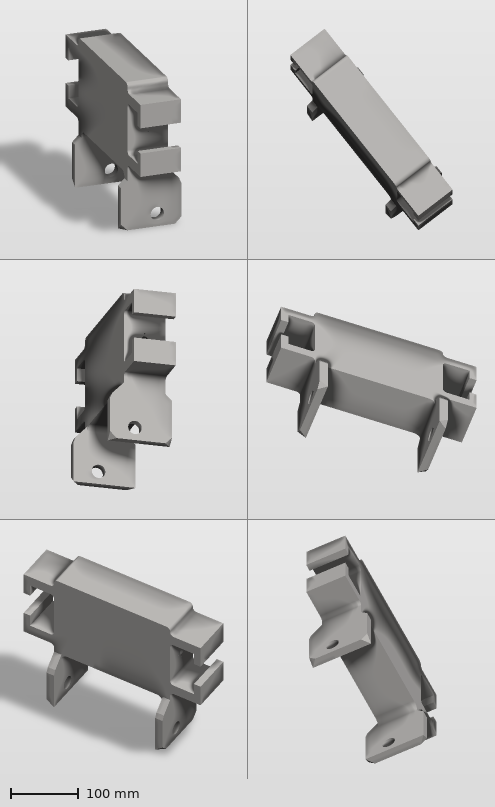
import cadquery as cq

block_width = 201.2
block_depth = 64.0
block_height = 143.5
block_corner_radius = 6.5

overall_width = 306.7
clip_height = 114.0
clip_opening = 40.0
arm_thickness = 17.0
hook_thickness = 11.3
arm_root_radius = 6.5

overall_height = 232.5
leg_thickness = 13.0
leg_root_radius = 10.0
rear_overhang = 21.2
rear_slope = 17.5
rear_drop = 25.8
front_overhang = 10.0
front_shoulder_drop = 11.0
leg_corner_cut = 10.0
leg_hole_diameter = 21.0
leg_hole_y = 15.0
leg_hole_height = 20.0

bore_diameter = 9.2
pin_diameter = 1.8
pin_circle_radius = 9.0

half_width = block_width / 2
half_depth = block_depth / 2
block_top = block_height / 2
block_bottom = -block_top
leg_bottom = block_top - overall_height
leg_inner_x = half_width - leg_thickness
rear_y = half_depth + rear_overhang
front_y = -half_depth - front_overhang


def y_edges_at(x, z_values):
    """Selector for the edges along Y at both +x and -x, at each given height."""
    tolerance = 0.15
    boxes = [
        cq.selectors.BoxSelector(
            (side * x - tolerance, -block_depth, z - tolerance),
            (side * x + tolerance, block_depth, z + tolerance),
        )
        for side in (-1, 1)
        for z in z_values
    ]
    selector = boxes[0]
    for box in boxes[1:]:
        selector = selector + box
    return cq.selectors.ParallelDirSelector(cq.Vector(0, 1, 0)) & selector


def make_frame():
    """Block with a C-shaped clip on each end, and short stubs that blend it into the legs."""
    pocket_height = clip_height - 2 * arm_thickness
    clips = cq.Workplane("XY").box(overall_width, block_depth, clip_height)
    clips = clips.cut(
        cq.Workplane("XY").box(overall_width - 2 * hook_thickness, block_depth, pocket_height)
    )
    clips = clips.cut(cq.Workplane("XY").box(overall_width, block_depth, clip_opening))

    stub_length = front_shoulder_drop
    stubs = (
        cq.Workplane("XY", origin=(0, 0, block_bottom - stub_length / 2))
        .pushPoints([(side * (half_width - leg_thickness / 2), 0) for side in (-1, 1)])
        .box(leg_thickness, block_depth, stub_length)
    )

    arm_outer_z = clip_height / 2
    arm_inner_z = arm_outer_z - arm_thickness
    arm_root_heights = [arm_outer_z, arm_inner_z, -arm_inner_z, -arm_outer_z]

    frame = cq.Workplane("XY").box(block_width, block_depth, block_height).union(clips).union(stubs)
    frame = frame.edges(y_edges_at(half_width, arm_root_heights)).fillet(arm_root_radius)
    frame = frame.edges(y_edges_at(half_width, [block_top])).fillet(block_corner_radius)
    return frame.edges(y_edges_at(leg_inner_x, [block_bottom])).fillet(leg_root_radius)


def make_leg():
    """Right-hand leg plate with sloped shoulders and a hole across it."""
    slope_end_y = half_depth + rear_slope
    shoulder_z = block_bottom - front_shoulder_drop
    outline = [
        (-half_depth, block_bottom),
        (half_depth, block_bottom),
        (slope_end_y, block_bottom - rear_slope),
        (rear_y, block_bottom - rear_drop),
        (rear_y, leg_bottom),
        (front_y, leg_bottom),
        (front_y, shoulder_z - front_overhang),
        (-half_depth, shoulder_z),
    ]
    leg = cq.Workplane("YZ", origin=(leg_inner_x, 0, 0)).polyline(outline).close().extrude(leg_thickness)
    hole = (
        cq.Workplane("YZ", origin=(leg_inner_x, leg_hole_y, leg_bottom + leg_hole_height))
        .circle(leg_hole_diameter / 2)
        .extrude(leg_thickness)
    )
    leg = leg.cut(hole)
    leg = leg.cut(make_corner_wedge(front_y, 1))
    return leg.cut(make_corner_wedge(rear_y, -1))


def make_corner_wedge(edge_y, inward):
    """Tetrahedron removing a lower outer corner and tapering to nothing at the inner face."""
    corner = cq.Vector(half_width, edge_y, leg_bottom)
    along_x = cq.Vector(leg_inner_x, edge_y, leg_bottom)
    along_y = cq.Vector(half_width, edge_y + inward * leg_corner_cut, leg_bottom)
    along_z = cq.Vector(half_width, edge_y, leg_bottom + leg_corner_cut)
    triangles = [
        (corner, along_x, along_y),
        (corner, along_y, along_z),
        (corner, along_z, along_x),
        (along_x, along_y, along_z),
    ]
    faces = [cq.Face.makeFromWires(cq.Wire.makePolygon(t, close=True)) for t in triangles]
    return cq.Workplane(cq.Solid.makeSolid(cq.Shell.makeShell(faces)))


def make_lengthwise_holes():
    """Central bore ringed by four small pin holes."""
    bore = cq.Workplane("YZ").circle(bore_diameter / 2).extrude(half_width, both=True)
    pins = (
        cq.Workplane("YZ")
        .polarArray(pin_circle_radius, 0, 360, 4)
        .circle(pin_diameter / 2)
        .extrude(half_width, both=True)
    )
    return bore.union(pins)


right_leg = make_leg()
left_leg = right_leg.mirror("YZ")
result = make_frame().union(right_leg).union(left_leg).cut(make_lengthwise_holes())